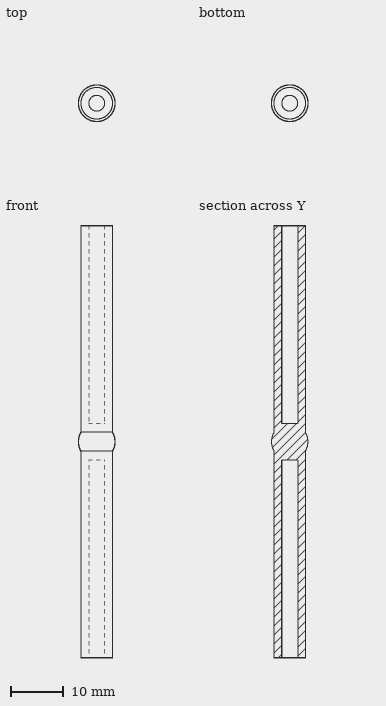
import cadquery as cq

total_length = 82.0
tube_diameter = 6.0
bore_diameter = 3.0
ball_diameter = 7.0

bore_depth = (total_length - ball_diameter) / 2


def make_stem():
    """Solid round stem along Z, centred on the origin."""
    return cq.Workplane("XY").cylinder(total_length, tube_diameter / 2)


def make_ball():
    """Ball at mid-length that bulges out of the stem, with its poles along Y."""
    ball = cq.Workplane("XY").sphere(ball_diameter / 2)
    return ball.rotate((0, 0, 0), (1, 0, 0), 90)


def drill_bore(body, end_face):
    """Flat-bottomed blind bore along the axis from the given end face."""
    radius = bore_diameter / 2
    return body.faces(end_face).workplane(origin=(0, 0, 0)).circle(radius).cutBlind(-bore_depth)


result = make_stem().union(make_ball())
for end in (">Z", "<Z"):
    result = drill_bore(result, end)